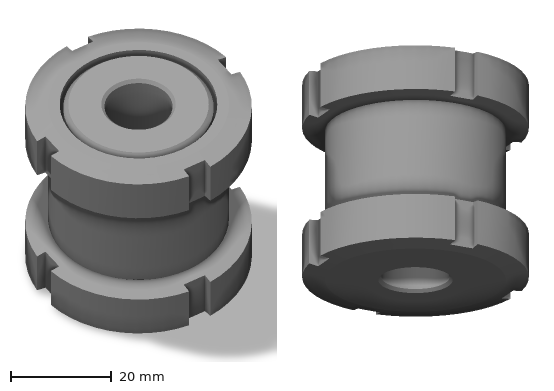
import cadquery as cq
import math

width = 44.7
total_height = 42.0

notch_width = 5.0
notch_floor = 20.4
notch_count = 4
flange_radius = math.hypot(width / 2, notch_width / 2)
flange_height = 10.5
face_radius = 17.98
rim_drop = 0.63

sleeve_radius = face_radius
sleeve_chamfer = 0.5
bore_radius = 15.65

post_radius = 14.95
post_chamfer = 1.0
hole_radius = 6.75
hole_chamfer = 0.63


def cylinder(radius, bottom, top):
    return cq.Workplane("XY").workplane(offset=bottom).circle(radius).extrude(top - bottom)


def notched_flange(bottom):
    """Disc with conical rims on both faces and notches around its edge."""
    top = bottom + flange_height
    flange = (
        cq.Workplane("XZ")
        .moveTo(0, bottom)
        .lineTo(face_radius, bottom)
        .lineTo(flange_radius, bottom + rim_drop)
        .lineTo(flange_radius, top - rim_drop)
        .lineTo(face_radius, top)
        .lineTo(0, top)
        .close()
        .revolve(360, (0, 0, 0), (0, 1, 0))
    )
    notch = cq.Workplane("XY").box(
        flange_radius, notch_width, flange_height, centered=(False, True, False)
    ).translate((notch_floor, 0, bottom))
    for index in range(notch_count):
        flange = flange.cut(notch.rotate((0, 0, 0), (0, 0, 1), index * 360 / notch_count))
    return flange


def make_upper_sleeve():
    """Flanged sleeve with a plain through bore and a chamfered lower end."""
    barrel = cylinder(sleeve_radius, flange_height, total_height - flange_height)
    barrel = barrel.faces("<Z").chamfer(sleeve_chamfer)
    bore = cylinder(bore_radius, flange_height, total_height)
    return notched_flange(total_height - flange_height).union(barrel).cut(bore)


def make_lower_post():
    """Flanged post with a chamfered top and a through hole chamfered at both ends."""
    post = cylinder(post_radius, flange_height, total_height).faces(">Z").chamfer(post_chamfer)
    body = notched_flange(0).union(post).cut(cylinder(hole_radius, 0, total_height))
    hole_rims = cq.selectors.RadiusNthSelector(0)
    body = body.faces(">Z").edges(hole_rims).chamfer(hole_chamfer)
    return body.faces("<Z").edges(hole_rims).chamfer(hole_chamfer)


upper_sleeve = make_upper_sleeve()
lower_post = make_lower_post()

result = cq.Compound.makeCompound([upper_sleeve.val(), lower_post.val()])